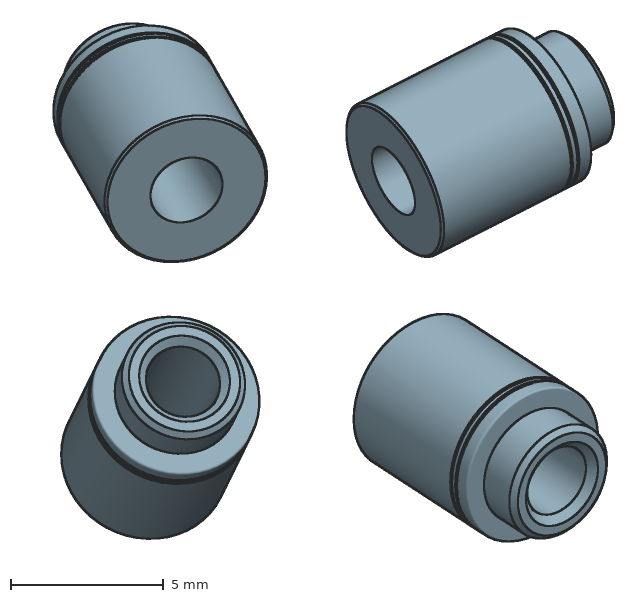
import cadquery as cq

total_length = 7.53
body_length = 6.0
body_diameter = 5.56
nose_diameter = 4.1
bore_diameter = 2.46

nose_chamfer = 0.2
shoulder_edge_radius = 0.08
rear_edge_chamfer = 0.08
bore_mouth_chamfer = 0.28

groove_width = 0.08
groove_depth = 0.08
first_groove_offset = 0.515
groove_pitch = 0.26
groove_count = 2

shoulder_x = total_length - body_length
bore_radius = bore_diameter / 2


def cylinder(start_x, length, diameter):
    """Solid cylinder along +X, centred on the X axis."""
    return cq.Workplane("YZ", origin=(start_x, 0, 0)).circle(diameter / 2).extrude(length)


def make_nose():
    """Reduced front spigot with a chamfered tip."""
    nose = cylinder(0, shoulder_x, nose_diameter)
    return nose.faces("<X").edges().chamfer(nose_chamfer)


def make_body():
    """Main barrel, rounded at the shoulder and chamfered at the rear."""
    body = cylinder(shoulder_x, body_length, body_diameter)
    body = body.faces("<X").edges().fillet(shoulder_edge_radius)
    return body.faces(">X").edges().chamfer(rear_edge_chamfer)


def make_groove(start_x):
    """Ring of material removed by one square-bottomed groove around the body."""
    core_diameter = body_diameter - 2 * groove_depth
    ring = cylinder(start_x, groove_width, body_diameter)
    return ring.cut(cylinder(start_x, groove_width, core_diameter))


def make_bore():
    """Material removed by the through bore and its conical mouth at the nose face."""
    half_profile = [
        (0, 0),
        (0, bore_radius + bore_mouth_chamfer),
        (bore_mouth_chamfer, bore_radius),
        (total_length, bore_radius),
        (total_length, 0),
    ]
    profile = cq.Workplane("XY").polyline(half_profile).close()
    return profile.revolve(360, (0, 0, 0), (1, 0, 0))


result = make_nose().union(make_body())
for index in range(groove_count):
    groove_x = shoulder_x + first_groove_offset + index * groove_pitch
    result = result.cut(make_groove(groove_x))
result = result.cut(make_bore())